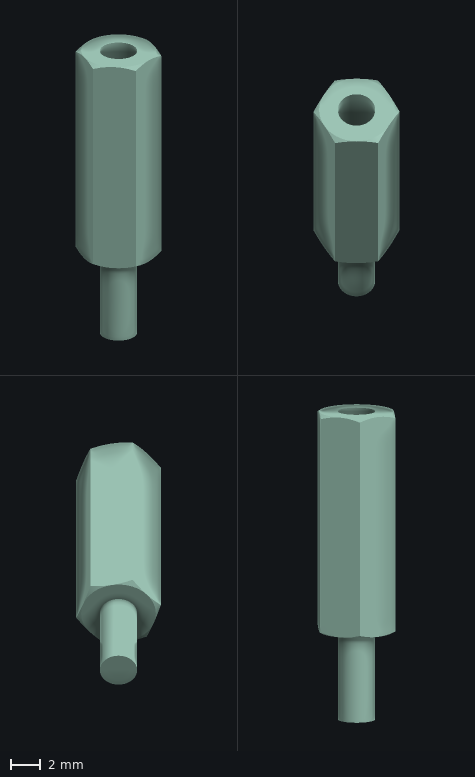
import cadquery as cq
import math

TOTAL_LENGTH = 21.0
ACROSS_FLATS = 5.0
STUD_LENGTH = 6.0
THREAD_DIAMETER = 2.5
ENVELOPE_CLEARANCE = 0.2
CHAMFER_ANGLE = 30.0

SPACER_LENGTH = TOTAL_LENGTH - STUD_LENGTH
ACROSS_CORNERS = ACROSS_FLATS / math.cos(math.radians(30))
SOCKET_DEPTH = STUD_LENGTH


def make_chamfer_envelope():
    """Round bar with conical ends that start at the flats' inscribed circle."""
    face_radius = ACROSS_FLATS / 2
    bar_radius = ACROSS_CORNERS / 2 + ENVELOPE_CLEARANCE
    cone_height = (bar_radius - face_radius) * math.tan(math.radians(CHAMFER_ANGLE))
    return (
        cq.Workplane("XZ")
        .moveTo(0, 0)
        .lineTo(face_radius, 0)
        .lineTo(bar_radius, cone_height)
        .lineTo(bar_radius, SPACER_LENGTH - cone_height)
        .lineTo(face_radius, SPACER_LENGTH)
        .lineTo(0, SPACER_LENGTH)
        .close()
        .revolve(360, (0, 0, 0), (0, 1, 0))
    )


def make_spacer():
    """Hexagonal spacer, corners on the Y axis, with a blind socket in its top."""
    hexagon = (
        cq.Workplane("XY")
        .transformed(rotate=(0, 0, 90))
        .polygon(6, ACROSS_CORNERS)
        .extrude(SPACER_LENGTH)
    )
    chamfered = hexagon.intersect(make_chamfer_envelope())
    socket = (
        cq.Workplane("XY")
        .workplane(offset=SPACER_LENGTH - SOCKET_DEPTH)
        .circle(THREAD_DIAMETER / 2)
        .extrude(SOCKET_DEPTH)
    )
    return chamfered.cut(socket)


def make_stud():
    """Plain round stud that hangs from the lower face of the spacer."""
    return cq.Workplane("XY").circle(THREAD_DIAMETER / 2).extrude(-STUD_LENGTH)


spacer = make_spacer()
stud = make_stud()

result = cq.Compound.makeCompound([spacer.solids().val(), stud.val()])